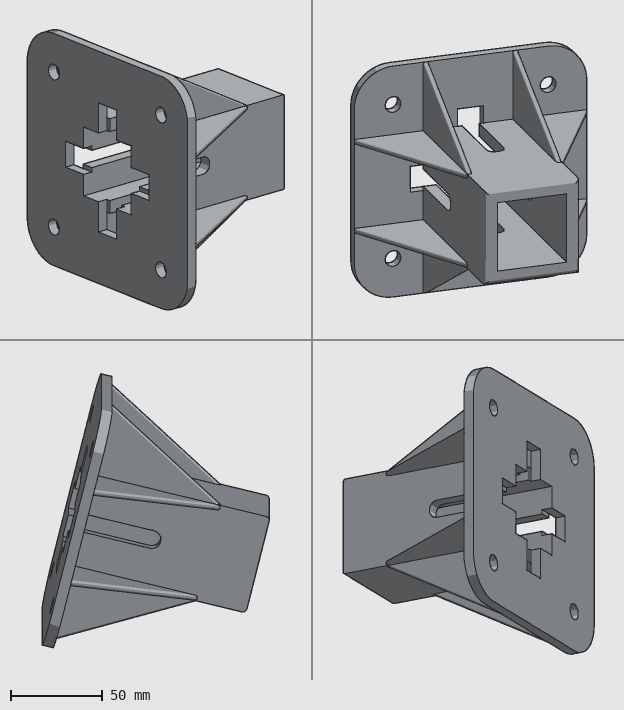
import cadquery as cq

plate_size = 135.0
plate_thickness = 6.0
plate_corner_radius = 22.5
bolt_hole_diameter = 9.0
bolt_hole_spacing = 90.0

total_length = 105.0
tube_outer = 55.0
tube_inner = 40.0
tube_end_round = 2.5

cross_slot_width = 15.0
cross_length_x = 70.0
cross_length_z = 75.0

wall_slot_width = 10.0
wall_slot_end = 50.0

rib_thickness = 3.0
rib_edge_round = 1.2
rib_tip = 77.0

half_plate = plate_size / 2
half_tube = tube_outer / 2
rib_root = half_tube - rib_thickness

origin = (0, 0, 0)
y_axis = (0, 1, 0)


def block(size_x, size_z, end_y):
    """Box centred on the Y axis, running from the front face to end_y."""
    return cq.Workplane("XZ").rect(size_x, size_z).extrude(-end_y)


def base_plate():
    """Square plate with rounded corners and four bolt holes."""
    plate = block(plate_size, plate_size, plate_thickness).edges("|Y").fillet(plate_corner_radius)
    bolt_holes = (
        cq.Workplane("XZ")
        .rect(bolt_hole_spacing, bolt_hole_spacing, forConstruction=True)
        .vertices()
        .circle(bolt_hole_diameter / 2)
        .extrude(-plate_thickness)
    )
    return plate.cut(bolt_holes)


def tube_body():
    """Outer body of the tube, with its far end rounded."""
    return block(tube_outer, tube_outer, total_length).faces(">Y").edges().fillet(tube_end_round)


def rib_pair():
    """Two ribs pointing to +X, flush with the +Z and -Z sides of the tube."""
    slope_normal = (rib_tip - plate_thickness, half_plate - half_tube, 0)
    rib = (
        cq.Workplane("XY")
        .workplane(offset=rib_root)
        .moveTo(rib_root, plate_thickness)
        .lineTo(half_plate, plate_thickness)
        .lineTo(half_tube, rib_tip)
        .lineTo(rib_root, rib_tip)
        .close()
        .extrude(rib_thickness)
    )
    rib = rib.faces(cq.selectors.DirectionMinMaxSelector(cq.Vector(*slope_normal)))
    rib = rib.edges("not(|Z)").fillet(rib_edge_round)
    return rib.union(rib.mirror("XY"))


def wall_slots():
    """Round-ended slot along Y, open at the plate end and passing through both Z walls."""
    end_radius = wall_slot_width / 2
    straight_end = wall_slot_end - end_radius
    return (
        cq.Workplane("XY")
        .moveTo(-end_radius, 0)
        .lineTo(-end_radius, straight_end)
        .threePointArc((0, wall_slot_end), (end_radius, straight_end))
        .lineTo(end_radius, 0)
        .close()
        .extrude(half_tube, both=True)
    )


def cross_opening():
    """Two crossing slots through the plate and the tube walls embedded in it."""
    across = block(cross_length_x, cross_slot_width, plate_thickness)
    upright = block(cross_slot_width, cross_length_z, plate_thickness)
    return across.union(upright)


body = base_plate().union(tube_body())
for angle in (0, 90, 180, 270):
    body = body.union(rib_pair().rotate(origin, y_axis, angle))

body = body.cut(block(tube_inner, tube_inner, total_length))
body = body.cut(cross_opening())
for angle in (0, 90):
    body = body.cut(wall_slots().rotate(origin, y_axis, angle))

result = body